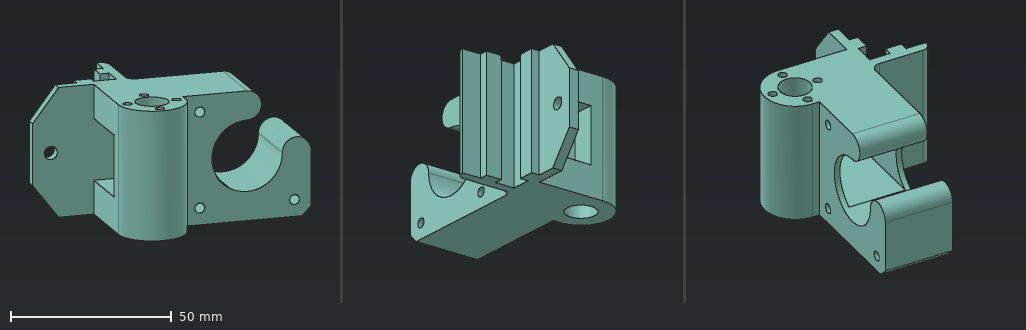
import cadquery as cq
import math

height = 42.0
mid_z = height / 2

boss_radius = 11.0
boss_x = 48.0
boss_y = 31.0
boss_bore_d = 10.6
boss_pin_d = 2.8
boss_pin_circle_radius = 8.0
boss_pin_count = 4
boss_pin_depth = 10.0
block_left_x = 21.5
block_front_y = boss_y - boss_radius
block_back_y = boss_y + boss_radius

plate_thickness = 3.5
corner_x = 20.0
flange_front_y = 28.5
flange_back_y = flange_front_y + plate_thickness
flange_round = 3.0
tab_right_x = corner_x + plate_thickness
tab_taper_length = 8.5
tab_end_width = 20.0
tab_hole_d = 4.2
tab_hole_y = 6.0

rib_width = 5.8
rib_height = 3.0
rib_offset = 7.2

window_size = tab_end_width

clamp_length_x = 24.0
motor_y = 63.0
motor_bore_radius = 11.5
jaw_radius = 4.75
jaw_centre_radius = motor_bore_radius + jaw_radius
clamp_back_y = motor_y + jaw_centre_radius + jaw_radius
clamp_chamfer = 3.0
screw_spacing = 31.0
screw_hole_d = 3.2


def box(x0, x1, y0, y1, z0=0.0, z1=height):
    """Axis-aligned box between two corners."""
    return cq.Workplane("XY").box(x1 - x0, y1 - y0, z1 - z0, centered=False).translate((x0, y0, z0))


def make_hinge():
    """Full-height block ending in a round boss."""
    block = box(block_left_x, boss_x, block_front_y, block_back_y)
    boss = cq.Workplane("XY").center(boss_x, boss_y).circle(boss_radius).extrude(height)
    return block.union(boss)


def make_flange():
    """Flange with a rounded free end and a fillet where it meets the block."""
    diagonal = flange_round * math.sqrt(0.5)
    return (
        cq.Workplane("XY")
        .moveTo(0, flange_front_y)
        .lineTo(block_left_x, flange_front_y)
        .lineTo(block_left_x, flange_back_y + flange_round)
        .threePointArc(
            (block_left_x - flange_round + diagonal, flange_back_y + flange_round - diagonal),
            (block_left_x - flange_round, flange_back_y),
        )
        .lineTo(flange_round, flange_back_y)
        .threePointArc(
            (flange_round - diagonal, flange_back_y - flange_round + diagonal),
            (0, flange_back_y - flange_round),
        )
        .close()
        .extrude(height)
    )


def make_tab():
    """Tab whose free end tapers symmetrically and carries one cross hole."""
    half_end = tab_end_width / 2
    tab = (
        cq.Workplane("YZ", origin=(corner_x, 0, 0))
        .polyline(
            [
                (0, mid_z - half_end),
                (tab_taper_length, 0),
                (flange_back_y, 0),
                (flange_back_y, height),
                (tab_taper_length, height),
                (0, mid_z + half_end),
            ]
        )
        .close()
        .extrude(plate_thickness)
    )
    hole = (
        cq.Workplane("YZ", origin=(corner_x, tab_hole_y, mid_z))
        .circle(tab_hole_d / 2)
        .extrude(plate_thickness)
    )
    return tab.cut(hole)


def make_ribs():
    """One full-height rib on each inside face of the corner."""
    flange_rib_right_x = corner_x - rib_offset
    tab_rib_back_y = flange_front_y - rib_offset
    flange_rib = box(
        flange_rib_right_x - rib_width, flange_rib_right_x, flange_front_y - rib_height, flange_front_y
    )
    tab_rib = box(corner_x - rib_height, corner_x, tab_rib_back_y - rib_width, tab_rib_back_y)
    return flange_rib.union(tab_rib)


def make_clamp():
    """Open hook around the motor bore, with two rounded jaw tips."""
    bore_diagonal = motor_bore_radius * math.sqrt(0.5)
    upper_jaw_z = mid_z + jaw_centre_radius
    rear_jaw_y = motor_y + jaw_centre_radius
    return (
        cq.Workplane("YZ", origin=(block_left_x, 0, 0))
        .moveTo(block_back_y, 0)
        .lineTo(clamp_back_y - clamp_chamfer, 0)
        .lineTo(clamp_back_y, clamp_chamfer)
        .lineTo(clamp_back_y, mid_z)
        .threePointArc((rear_jaw_y, mid_z + jaw_radius), (rear_jaw_y - jaw_radius, mid_z))
        .threePointArc(
            (motor_y - bore_diagonal, mid_z - bore_diagonal),
            (motor_y, mid_z + motor_bore_radius),
        )
        .threePointArc((motor_y + jaw_radius, upper_jaw_z), (motor_y, height))
        .lineTo(block_back_y, height)
        .close()
        .extrude(clamp_length_x)
    )


def make_screw_holes():
    """Three motor screw holes; the open corner of the square has none."""
    half = screw_spacing / 2
    return (
        cq.Workplane("YZ", origin=(block_left_x, motor_y, mid_z))
        .pushPoints([(-half, -half), (-half, half), (half, -half)])
        .circle(screw_hole_d / 2)
        .extrude(clamp_length_x)
    )


def make_boss_holes():
    """Through bore and a ring of blind pin holes opening on the top of the boss."""
    bore = cq.Workplane("XY").center(boss_x, boss_y).circle(boss_bore_d / 2).extrude(height)
    pins = (
        cq.Workplane("XY", origin=(boss_x, boss_y, height))
        .polarArray(boss_pin_circle_radius, 0, 360, boss_pin_count)
        .circle(boss_pin_d / 2)
        .extrude(-boss_pin_depth)
    )
    return bore.union(pins)


def make_window():
    """Square passage beside the tab, from the block front into the motor bore."""
    half = window_size / 2
    return box(
        tab_right_x, tab_right_x + window_size, block_front_y, motor_y, mid_z - half, mid_z + half
    )


body = make_hinge().union(make_flange()).union(make_tab()).union(make_ribs()).union(make_clamp())
result = body.cut(make_screw_holes()).cut(make_boss_holes()).cut(make_window())